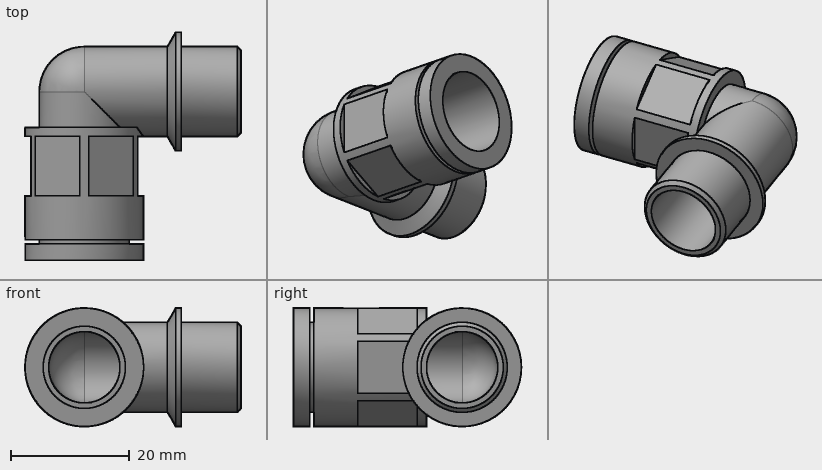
import cadquery as cq
import math


pipe_radius = 15.2 / 2
bore_radius = 12.0 / 2
collar_radius = 20.0 / 2

pipe_length = 26.4
pipe_chamfer = 0.67
flange_start = 14.0
flange_cone_angle = 60.0
flange_cone_length = (collar_radius - pipe_radius) / math.tan(math.radians(flange_cone_angle))
flange_rim_width = 0.95

socket_start = 6.0
socket_end = 28.4
socket_bore_radius = 13.86 / 2
socket_bore_bottom = 7.5
groove_start = 24.95
groove_width = 0.7

flats_start = 7.55
flats_length = 10.0
flats_across = 18.0
flats_count = 6


def cylinder_along_x(radius, start, end):
    return cq.Workplane("YZ").workplane(offset=start).circle(radius).extrude(end - start)


def cylinder_along_minus_y(radius, start, end):
    return cq.Workplane("XZ").workplane(offset=start).circle(radius).extrude(end - start)


def make_pipe():
    """Straight pipe with a chamfered free end."""
    return cylinder_along_x(pipe_radius, 0, pipe_length).faces(">X").chamfer(pipe_chamfer)


def make_flange():
    """Flange with a conical face towards the elbow and a short cylindrical rim."""
    rim_start = flange_start + flange_cone_length
    rim_end = rim_start + flange_rim_width
    return (
        cq.Workplane("XY")
        .moveTo(flange_start, 0)
        .lineTo(flange_start, pipe_radius)
        .lineTo(rim_start, collar_radius)
        .lineTo(rim_end, collar_radius)
        .lineTo(rim_end, 0)
        .close()
        .revolve(360, (0, 0, 0), (1, 0, 0))
    )


def make_flats_cutter():
    """Ring that trims a stretch of the socket to a hexagon with flats facing +X and -X."""
    corner_diameter = flats_across / math.cos(math.pi / flats_count)
    hexagon = (
        cq.Workplane("XZ")
        .workplane(offset=flats_start)
        .transformed(rotate=(0, 0, 180 / flats_count))
        .polygon(flats_count, corner_diameter)
        .extrude(flats_length)
    )
    blank_radius = corner_diameter
    return cylinder_along_minus_y(blank_radius, flats_start, flats_start + flats_length).cut(hexagon)


def make_groove_cutter():
    """Ring groove near the mouth of the socket, as deep as the pipe surface."""
    groove_end = groove_start + groove_width
    blank_radius = 2 * collar_radius
    core = cylinder_along_minus_y(pipe_radius, groove_start, groove_end)
    return cylinder_along_minus_y(blank_radius, groove_start, groove_end).cut(core)


def make_socket():
    """Socket body with spanner flats and a ring groove."""
    body = cylinder_along_minus_y(collar_radius, socket_start, socket_end)
    return body.cut(make_flats_cutter()).cut(make_groove_cutter())


def make_elbow():
    """Rounded corner and the short neck that carries the socket."""
    corner = cq.Workplane("XY").sphere(pipe_radius)
    return corner.union(cylinder_along_minus_y(pipe_radius, 0, socket_start))


def make_passage():
    """Bore through both arms with a spherical corner and a wider tube seat in the socket."""
    corner = cq.Workplane("XY").sphere(bore_radius)
    pipe_bore = cylinder_along_x(bore_radius, 0, pipe_length)
    socket_bore = cylinder_along_minus_y(bore_radius, 0, socket_end)
    tube_seat = cylinder_along_minus_y(socket_bore_radius, socket_bore_bottom, socket_end)
    return corner.union(pipe_bore).union(socket_bore).union(tube_seat)


outside = make_elbow().union(make_socket()).union(make_pipe()).union(make_flange())
result = outside.cut(make_passage())